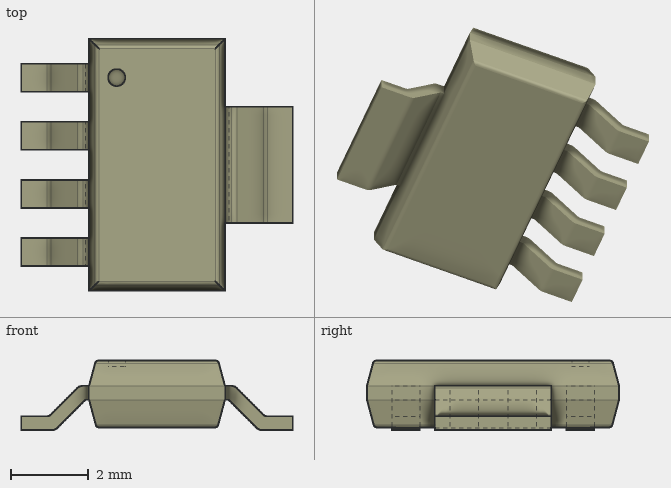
import cadquery as cq
import math

span = 7.0
body_width = 3.51
body_length = 6.5
overall_height = 1.8
standoff = 0.07

draft_angle = 15.0
edge_radius = 0.1
dot_diameter = 0.44
dot_depth = 0.15
dot_inset_x = 0.715
dot_inset_y = 1.0

strip_thickness = 0.365
strip_top = 1.15
foot_length = 0.72
bend_angle = 45.0
outer_bend_radius = 0.195
foot_bend_radius = 0.14
lead_width = 0.73
lead_count = 4
lead_pitch = 1.5
tab_width = 3.0

belt_bottom = strip_top - strip_thickness


def tapered_half(start_height, rise):
    """Half of the body, leaning inwards from the belt plane; a negative rise goes down."""
    inset = abs(rise) * math.tan(math.radians(draft_angle))
    return (
        cq.Workplane("XY", origin=(0, 0, start_height))
        .rect(body_width, body_length)
        .workplane(offset=rise)
        .rect(body_width - 2 * inset, body_length - 2 * inset)
        .loft(combine=True)
    )


def make_body():
    belt = (
        cq.Workplane("XY", origin=(0, 0, belt_bottom))
        .rect(body_width, body_length)
        .extrude(strip_thickness)
    )
    upper = tapered_half(strip_top, overall_height - strip_top)
    lower = tapered_half(belt_bottom, standoff - belt_bottom)
    body = belt.union(upper).union(lower)
    body = body.faces(">Z or <Z").edges().fillet(edge_radius)

    dot = (
        cq.Workplane("XY", origin=(0, 0, overall_height - dot_depth))
        .center(dot_inset_x - body_width / 2, body_length / 2 - dot_inset_y)
        .circle(dot_diameter / 2)
        .extrude(dot_depth)
    )
    return body.cut(dot)


def make_strip(width):
    """Gull-wing strip on the -X side, centred on Y = 0, ending flush on the belt."""
    tip_x = -span / 2
    root_x = -body_width / 2
    foot_corner_x = tip_x + foot_length
    rise = strip_top - strip_thickness
    shoulder_x = foot_corner_x + rise / math.tan(math.radians(bend_angle))
    corner_shift = strip_thickness * math.tan(math.radians(bend_angle / 2))
    heel_x = foot_corner_x + corner_shift
    underside_x = shoulder_x + corner_shift

    strip = (
        cq.Workplane("XZ", origin=(0, width / 2, 0))
        .moveTo(tip_x, 0)
        .lineTo(heel_x, 0)
        .lineTo(underside_x, belt_bottom)
        .lineTo(root_x, belt_bottom)
        .lineTo(root_x, strip_top)
        .lineTo(shoulder_x, strip_top)
        .lineTo(foot_corner_x, strip_thickness)
        .lineTo(tip_x, strip_thickness)
        .close()
        .extrude(width)
    )

    def bend_edge(x, z):
        return cq.selectors.NearestToPointSelector((x, 0, z))

    strip = strip.edges(bend_edge(heel_x, 0)).fillet(outer_bend_radius)
    strip = strip.edges(bend_edge(shoulder_x, strip_top)).fillet(outer_bend_radius)
    return strip.edges(bend_edge(foot_corner_x, strip_thickness)).fillet(foot_bend_radius)


body = make_body()

leads = []
for index in range(lead_count):
    lead_y = (index - (lead_count - 1) / 2) * lead_pitch
    leads.append(make_strip(lead_width).translate((0, lead_y, 0)).val())

tab = make_strip(tab_width).mirror("YZ")

result = cq.Compound.makeCompound([body.val(), *leads, tab.val()])